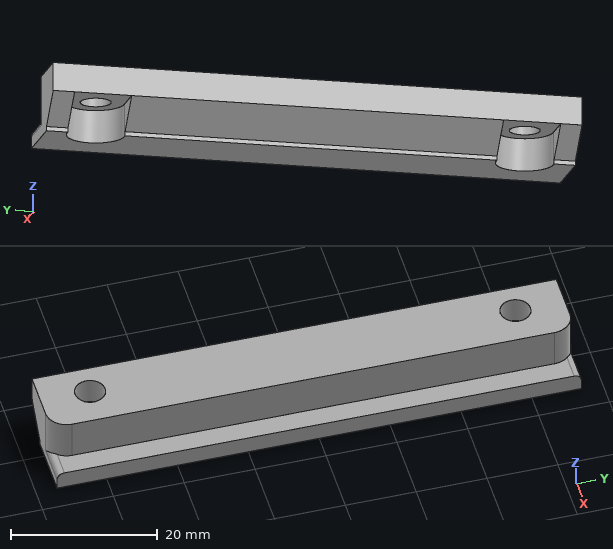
import cadquery as cq

length = 74.0
width = 13.0
height = 8.6

bar_width = 10.0
bar_corner_radius = 2.95
lip_thickness = 2.7
lip_end_radius = 1.0

slope_size = 4.0
slope_top = 4.6
slope_bottom = slope_top - slope_size

hole_spacing = 60.0
hole_x = 4.45
hole_diameter = 4.2
recess_width = 8.0
recess_depth = slope_top


def make_bar():
    """Full-height bar with its two +X corners rounded."""
    bar = cq.Workplane("XY").box(bar_width, length, height, centered=(False, True, False))
    return bar.edges("|Z and >X").fillet(bar_corner_radius)


def make_lip():
    """Full-width base plate with its upper end edges rounded."""
    lip = cq.Workplane("XY").box(width, length, lip_thickness, centered=(False, True, False))
    return lip.edges("|X and >Z").fillet(lip_end_radius)


def make_underside_relief():
    """Material below the slope, removed along the whole length."""
    return (
        cq.Workplane("XZ")
        .polyline([(0, 0), (slope_size, 0), (slope_size, slope_bottom), (0, slope_top)])
        .close()
        .extrude(length / 2, both=True)
    )


def make_screw_hole(y):
    """Through hole and the U-shaped screw head recess, open towards -X."""
    hole = cq.Workplane("XY").center(hole_x, y).circle(hole_diameter / 2).extrude(height)
    recess = (
        cq.Workplane("XY")
        .moveTo(0, y - recess_width / 2)
        .lineTo(hole_x, y - recess_width / 2)
        .radiusArc((hole_x + recess_width / 2, y), -recess_width / 2)
        .radiusArc((hole_x, y + recess_width / 2), -recess_width / 2)
        .lineTo(0, y + recess_width / 2)
        .close()
        .extrude(recess_depth)
    )
    return hole.union(recess)


result = make_bar().union(make_lip()).cut(make_underside_relief())
for hole_y in (-hole_spacing / 2, hole_spacing / 2):
    result = result.cut(make_screw_hole(hole_y))